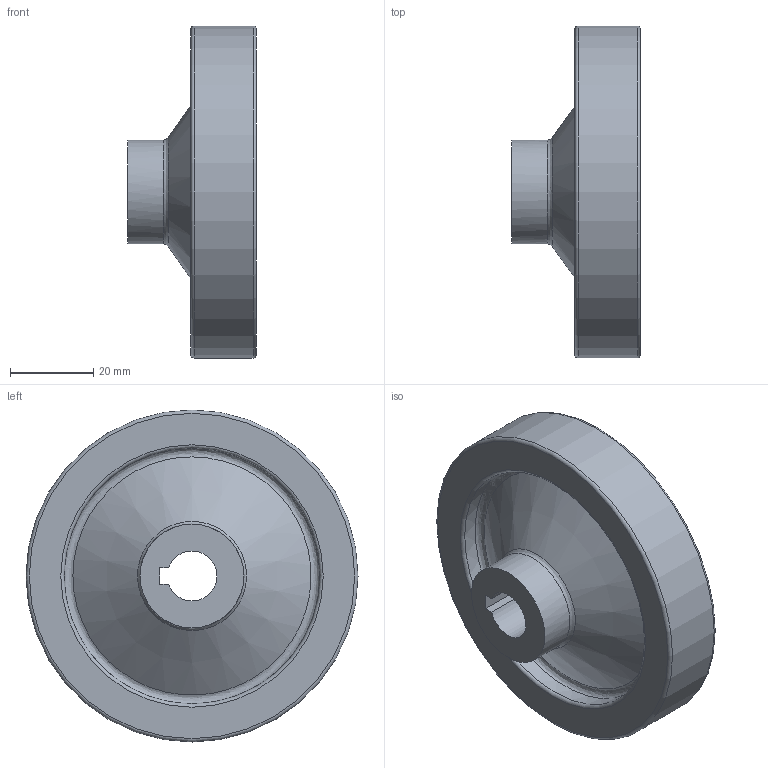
import cadquery as cq
import math

overall_length = 31.0
rim_diameter = 80.0
rim_width = 15.8
rim_round = 0.8

hub_diameter = 25.0
hub_corner_x = 9.3
web_half_angle = 55.0
hub_round = 1.5
recess_round = 1.35
recess_diameter = 61.64

bore_diameter = 12.0
keyway_width = 4.0
keyway_reach = 7.8

rim_face_x = overall_length - rim_width
rim_radius = rim_diameter / 2
hub_radius = hub_diameter / 2
recess_radius = recess_diameter / 2

recess_root_x = hub_corner_x + (recess_radius - hub_radius) / math.tan(math.radians(web_half_angle))


def round_edge(body, x, edge_radius, round_radius):
    """Fillet the circular edge of the given radius that lies at station x."""
    margin = 0.05
    near_station = cq.selectors.BoxSelector(
        (x - margin, -rim_diameter, -rim_diameter),
        (x + margin, rim_diameter, rim_diameter),
        boundingbox=True,
    )
    circles = body.edges("%CIRCLE").edges(near_station)
    edges = [edge for edge in circles.vals() if abs(edge.radius() - edge_radius) < margin]
    return body.newObject(edges).fillet(round_radius)


def make_wheel():
    """Revolve the hub, web and rim outline, then round its circular edges."""
    outline = [
        (0, 0),
        (0, hub_radius),
        (hub_corner_x, hub_radius),
        (recess_root_x, recess_radius),
        (rim_face_x, recess_radius),
        (rim_face_x, rim_radius),
        (overall_length, rim_radius),
        (overall_length, 0),
    ]
    rounded_edges = [
        (hub_corner_x, hub_radius, hub_round),
        (recess_root_x, recess_radius, recess_round),
        (rim_face_x, recess_radius, rim_round),
        (rim_face_x, rim_radius, rim_round),
        (overall_length, rim_radius, rim_round),
    ]
    wheel = cq.Workplane("XZ").polyline(outline).close().revolve(360, (0, 0, 0), (1, 0, 0))
    for x, radius, round_radius in rounded_edges:
        wheel = round_edge(wheel, x, radius, round_radius)
    return wheel


def make_bore():
    """Through bore with a keyway opening toward +Y."""
    bore = cq.Workplane("YZ").circle(bore_diameter / 2).extrude(overall_length)
    keyway = (
        cq.Workplane("YZ")
        .center(keyway_reach / 2, 0)
        .rect(keyway_reach, keyway_width)
        .extrude(overall_length)
    )
    return bore.union(keyway)


result = make_wheel().cut(make_bore())